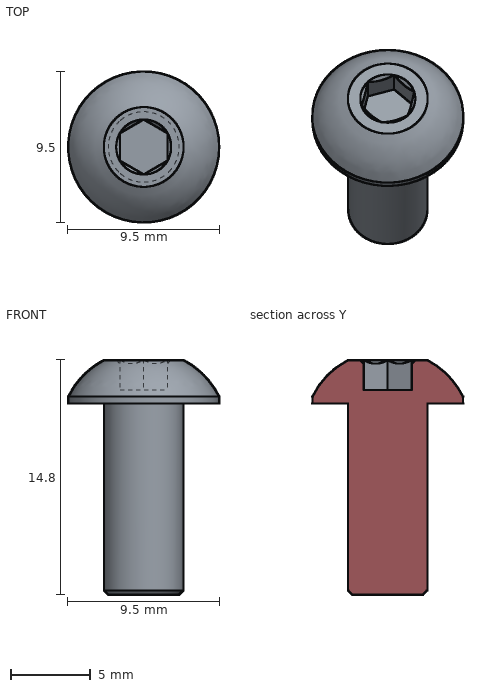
import cadquery as cq
import math

total_length = 14.75
head_height = 2.75
head_diameter = 9.5
rim_height = 0.44
crown_diameter = 5.02
dome_bulge = 0.25

shank_diameter = 5.0
tip_chamfer = 0.28

hex_across_flats = 3.0
socket_depth = 1.87
lead_in_angle = 45.0

head_radius = head_diameter / 2
crown_radius = crown_diameter / 2
shank_radius = shank_diameter / 2
head_base = total_length - head_height
rim_top = head_base + rim_height
hex_across_corners = hex_across_flats / math.cos(math.radians(30))


def screw_body():
    """Revolve the half profile of the shank and domed head."""
    chord_r = crown_radius - head_radius
    chord_z = total_length - rim_top
    chord = math.hypot(chord_r, chord_z)
    dome_middle = (
        (head_radius + crown_radius) / 2 + dome_bulge * chord_z / chord,
        (rim_top + total_length) / 2 - dome_bulge * chord_r / chord,
    )
    return (
        cq.Workplane("XZ")
        .moveTo(0, 0)
        .lineTo(shank_radius - tip_chamfer, 0)
        .lineTo(shank_radius, tip_chamfer)
        .lineTo(shank_radius, head_base)
        .lineTo(head_radius, head_base)
        .lineTo(head_radius, rim_top)
        .threePointArc(dome_middle, (crown_radius, total_length))
        .lineTo(0, total_length)
        .close()
        .revolve(360, (0, 0, 0), (0, 1, 0))
    )


def hex_socket():
    """Hexagonal prism with two corners on the Y axis."""
    return (
        cq.Workplane("XY")
        .workplane(offset=total_length - socket_depth)
        .polygon(6, hex_across_corners)
        .extrude(socket_depth)
        .rotate((0, 0, 0), (0, 0, 1), 90)
    )


def socket_lead_in():
    """Cone that meets the top face at the circle through the hexagon corners."""
    mouth_radius = hex_across_corners / 2
    cone_depth = mouth_radius * math.tan(math.radians(lead_in_angle))
    cone = cq.Solid.makeCone(0, mouth_radius, cone_depth)
    return cq.Workplane(cone).translate((0, 0, total_length - cone_depth))


result = screw_body().cut(hex_socket()).cut(socket_lead_in())